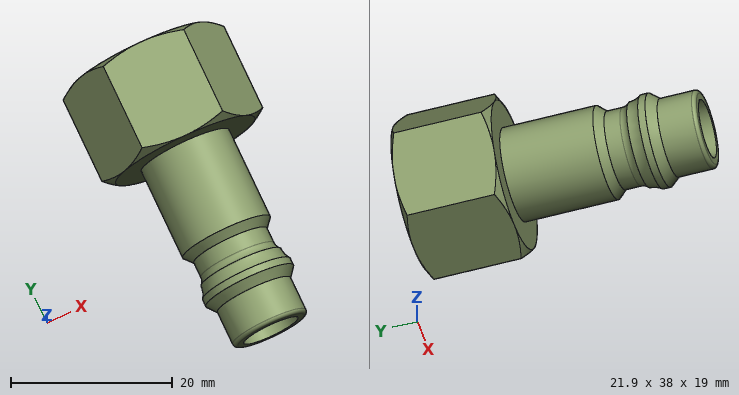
import cadquery as cq
import math

total_length = 38.0
across_flats = 19.0
hex_length = 13.0
hex_chamfer_angle = math.radians(30)
bore_diameter = 7.4

shank_radius = 6.0
neck_radius = 5.0
step_radius = 5.47

tip_rounding = 0.5
collar_cone_start = 4.95
collar_start = 6.2
collar_end = 7.15
step_position = 8.75
groove_start = 9.75
groove_end = 11.8
shank_start = 12.95

hex_start = total_length - hex_length
flat_radius = across_flats / 2
corner_radius = flat_radius / math.cos(math.pi / 6)
chamfer_length = (corner_radius - flat_radius) * math.tan(hex_chamfer_angle)


def make_hex():
    """Hexagon with its corners turned down to a cone at both ends."""
    prism = (
        cq.Workplane("XZ", origin=(0, total_length, 0))
        .polygon(6, 2 * corner_radius)
        .extrude(hex_length)
    )
    turned_blank = (
        cq.Workplane("XY")
        .moveTo(0, hex_start)
        .lineTo(flat_radius, hex_start)
        .lineTo(corner_radius, hex_start + chamfer_length)
        .lineTo(corner_radius, total_length - chamfer_length)
        .lineTo(flat_radius, total_length)
        .lineTo(0, total_length)
        .close()
        .revolve(360, (0, 0, 0), (0, 1, 0))
    )
    return prism.intersect(turned_blank)


def make_plug():
    """Turned plug with a locking groove and collar, overlapping the hexagon."""
    return (
        cq.Workplane("XY")
        .lineTo(neck_radius - tip_rounding, 0)
        .radiusArc((neck_radius, tip_rounding), -tip_rounding)
        .lineTo(neck_radius, collar_cone_start)
        .lineTo(shank_radius, collar_start)
        .lineTo(shank_radius, collar_end)
        .threePointArc(flare_midpoint(step_radius, step_position, shank_radius, collar_end),
                       (step_radius, step_position))
        .threePointArc(flare_midpoint(neck_radius, groove_start, step_radius, step_position),
                       (neck_radius, groove_start))
        .lineTo(neck_radius, groove_end)
        .lineTo(shank_radius, shank_start)
        .lineTo(shank_radius, total_length)
        .lineTo(0, total_length)
        .close()
        .revolve(360, (0, 0, 0), (0, 1, 0))
    )


def flare_midpoint(small_radius, small_y, large_radius, large_y):
    """Middle of a concave arc that is parallel to the axis at its small end."""
    rise = large_radius - small_radius
    run = small_y - large_y
    arc_radius = (rise**2 + run**2) / (2 * rise)
    half_sweep = math.atan2(rise, run)
    return (
        small_radius + arc_radius * (1 - math.cos(half_sweep)),
        small_y - arc_radius * math.sin(half_sweep),
    )


bore = cq.Workplane("XZ").circle(bore_diameter / 2).extrude(-total_length)

result = make_hex().union(make_plug()).cut(bore)